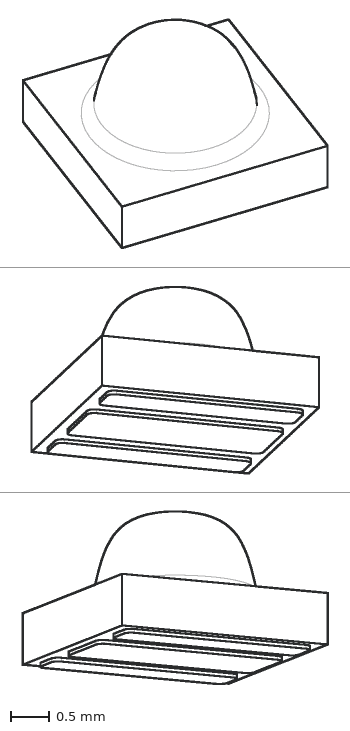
import cadquery as cq

plate_side = 3.0
overall_height = 1.93

pad_thickness = 0.05
pad_corner_radius = 0.1
pad_length = 2.7
pad_row_width = 2.7
side_pad_width = 0.505
centre_pad_width = 1.008

plate_height = 0.69
plate_top = pad_thickness + plate_height

dome_radius = 1.07
foot_size = 0.165
foot_radius = dome_radius + foot_size
dome_base = plate_top + foot_size

wall_lean = 0.153
wall_control_height = 0.69
crown_control_radius = 0.805


def make_pad(centre_x, width):
    """Rounded pad reaching from Z = 0 to the plate underside."""
    return (
        cq.Workplane("XY")
        .center(centre_x, 0)
        .rect(width, pad_length)
        .extrude(pad_thickness)
        .edges("|Z")
        .fillet(pad_corner_radius)
    )


def make_lens():
    """Revolve the half profile of the foot and dome about the Z axis."""
    dome_curve = [
        (dome_radius, dome_base),
        (dome_radius - wall_lean, dome_base + wall_control_height),
        (crown_control_radius, overall_height),
        (0, overall_height),
    ]
    return (
        cq.Workplane("XZ")
        .moveTo(0, plate_top)
        .lineTo(foot_radius, plate_top)
        .radiusArc((dome_radius, dome_base), foot_size)
        .bezier(dome_curve)
        .close()
        .revolve(360, (0, 0), (0, 1))
    )


plate = (
    cq.Workplane("XY")
    .workplane(offset=pad_thickness)
    .rect(plate_side, plate_side)
    .extrude(plate_height)
)

result = plate.union(make_lens())

side_pad_offset = (pad_row_width - side_pad_width) / 2
pads = [
    (-side_pad_offset, side_pad_width),
    (0, centre_pad_width),
    (side_pad_offset, side_pad_width),
]
for pad_x, pad_width in pads:
    result = result.union(make_pad(pad_x, pad_width))